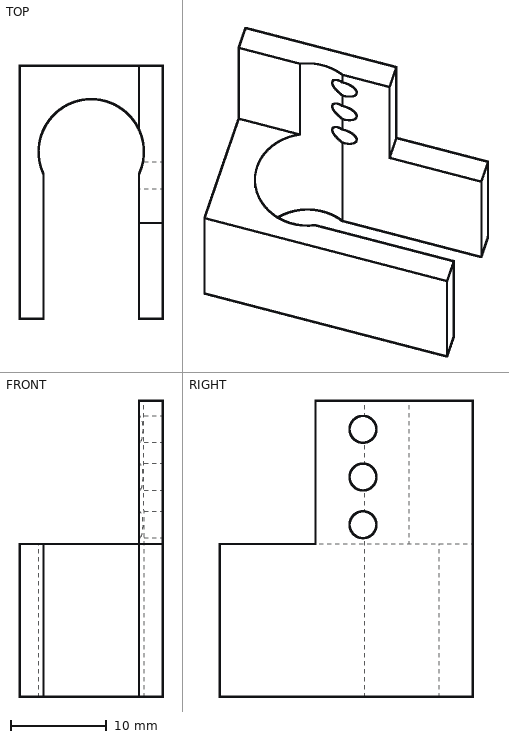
import cadquery as cq

width = 15.0
length = 26.5
height = 31.0

body_height = 16.0
slot_width = 9.98
arm_thickness = (width - slot_width) / 2
plate_length = 16.5

bore_diameter = 11.0
bore_from_back = 9.02

hole_diameter = 2.8
hole_from_back = 11.5
top_hole_depth = 3.0
hole_spacing = 5.0
hole_count = 3

back_y = length / 2
bore_y = back_y - bore_from_back
plate_inner_x = width / 2 - arm_thickness


def block(x_start, y_start, x_size, y_size, z_size):
    """Box standing on the base plane from its lowest corner."""
    return cq.Workplane("XY").box(x_size, y_size, z_size, centered=False).translate((x_start, y_start, 0))


body = block(-width / 2, -length / 2, width, length, body_height)
plate = block(plate_inner_x, back_y - plate_length, arm_thickness, plate_length, height)

bore = cq.Workplane("XY").center(0, bore_y).circle(bore_diameter / 2).extrude(height)
slot = block(-slot_width / 2, -length / 2, slot_width, bore_y + length / 2, height)
result = body.union(plate).cut(bore).cut(slot)

for index in range(hole_count):
    hole_z = height - top_hole_depth - index * hole_spacing
    hole = (
        cq.Workplane("YZ")
        .center(back_y - hole_from_back, hole_z)
        .circle(hole_diameter / 2)
        .extrude(width / 2)
    )
    result = result.cut(hole)